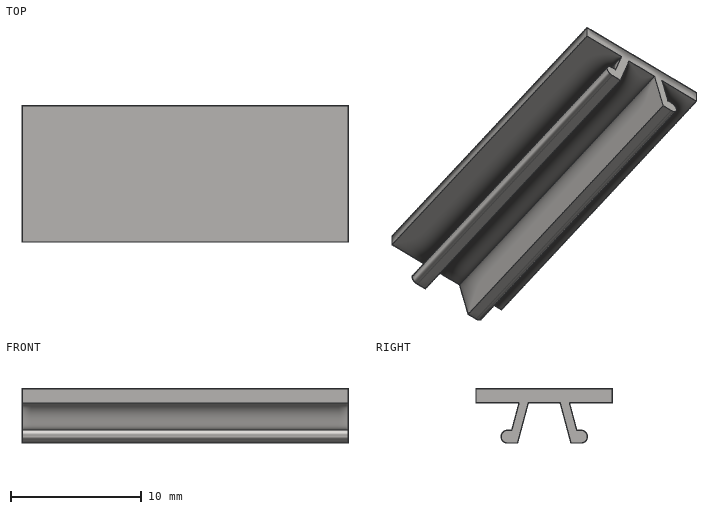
import cadquery as cq
import math

length = 25.1
plate_width = 10.5
total_height = 4.2

plate_thickness = 1.1

leg_height = total_height - plate_thickness
leg_angle = 15.0
leg_thickness = 0.7
root_inner_offset = 1.22

hook_radius = 0.5
hook_height = 2 * hook_radius
hook_reach = 3.325

leg_slope = math.tan(math.radians(leg_angle))
leg_width = leg_thickness / math.cos(math.radians(leg_angle))
foot_inner_offset = root_inner_offset + leg_height * leg_slope
root_outer_offset = root_inner_offset + leg_width
hook_inner_offset = root_outer_offset + (leg_height - hook_height) * leg_slope
hook_round_centre = hook_reach - hook_radius


def extrude_profile(profile):
    """Extrude a YZ profile along X, centred on the origin."""
    return profile.extrude(length / 2, both=True)


def make_plate():
    profile = (
        cq.Workplane("YZ")
        .center(0, total_height - plate_thickness / 2)
        .rect(plate_width, plate_thickness)
    )
    return extrude_profile(profile)


def make_leg():
    """Leg on the +Y side: a slanted web ending in a flat-topped hook with a round nose."""
    profile = (
        cq.Workplane("YZ")
        .moveTo(root_inner_offset, leg_height)
        .lineTo(foot_inner_offset, 0)
        .lineTo(hook_round_centre, 0)
        .threePointArc((hook_reach, hook_radius), (hook_round_centre, hook_height))
        .lineTo(hook_inner_offset, hook_height)
        .lineTo(root_outer_offset, leg_height)
        .close()
    )
    return extrude_profile(profile)


leg = make_leg()
result = make_plate().union(leg).union(leg.mirror("XZ"))